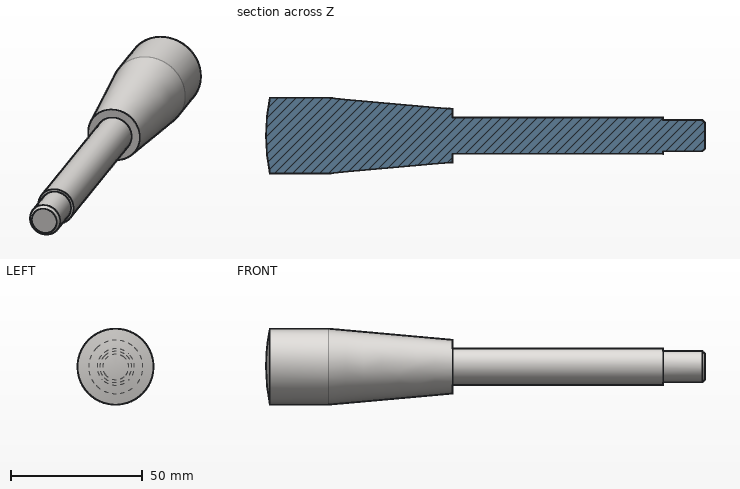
import cadquery as cq
import math

total_length = 167.0
crown_height = 1.5
taper_start = 23.7
grip_length = 71.0
spigot_length = 16.0
spigot_chamfer = 1.1

head_diameter = 29.0
taper_end_diameter = 20.5
shaft_diameter = 14.0
spigot_diameter = 12.0

head_radius = head_diameter / 2
taper_end_radius = taper_end_diameter / 2
shaft_shoulder = total_length - spigot_length


def make_grip():
    """Revolve the grip: spherical crown, cylindrical head and conical taper."""
    crown_radius = (head_radius**2 + crown_height**2) / (2 * crown_height)
    arc_mid_radius = head_radius / 2
    arc_mid_x = crown_radius - math.sqrt(crown_radius**2 - arc_mid_radius**2)
    profile = (
        cq.Workplane("XZ")
        .moveTo(0, 0)
        .threePointArc((arc_mid_x, arc_mid_radius), (crown_height, head_radius))
        .lineTo(taper_start, head_radius)
        .lineTo(grip_length, taper_end_radius)
        .lineTo(grip_length, 0)
        .close()
    )
    return profile.revolve(360, (0, 0, 0), (1, 0, 0))


def make_rod(start, end, diameter):
    """Make a cylinder along X between two stations."""
    return cq.Workplane("YZ").workplane(offset=start).circle(diameter / 2).extrude(end - start)


def make_spigot():
    """Make the reduced end of the shaft, chamfered at its free end."""
    return make_rod(shaft_shoulder, total_length, spigot_diameter).faces(">X").chamfer(spigot_chamfer)


shaft = make_rod(grip_length, shaft_shoulder, shaft_diameter)
result = make_grip().union(shaft).union(make_spigot())